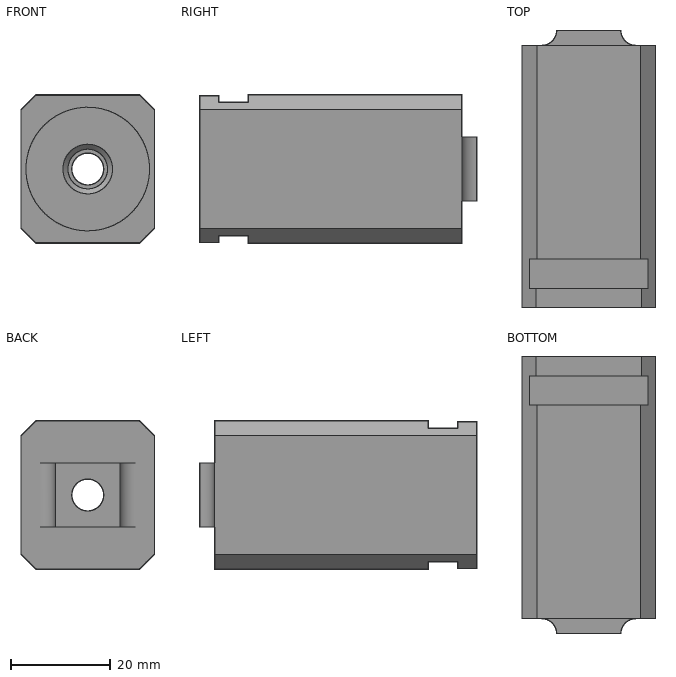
import cadquery as cq

total_length = 56.0
width = 27.0
height = 30.0

tongue_length = 3.0
tongue_size = 13.0
flare_radius = tongue_length
body_length = total_length - tongue_length

corner_chamfer = 3.0

lip_length = 3.9
lip_relief = 0.15
groove_length = 5.9
groove_depth = 1.5

bore_diameter = 25.0
end_wall = 5.0
bore_depth = body_length - end_wall
countersink_diameter = 10.0
seat_diameter = 8.0
countersink_depth = (countersink_diameter - seat_diameter) / 2
through_diameter = 6.4


def make_body():
    """Rectangular block with its four long edges chamfered."""
    block = cq.Workplane("XY").box(width, body_length, height, centered=(True, False, True))
    return block.edges("|Y").chamfer(corner_chamfer)


def make_tongue():
    """Flat-sided tongue whose X sides sweep out to the body in concave quarter arcs."""
    half_tip = tongue_size / 2
    half_base = half_tip + flare_radius
    arc_inset = flare_radius * (1 - 0.5 ** 0.5)
    arc_middle_x = half_tip + arc_inset
    arc_middle_y = body_length + arc_inset
    return (
        cq.Workplane("XY")
        .workplane(offset=-tongue_size / 2)
        .moveTo(-half_base, body_length)
        .threePointArc((-arc_middle_x, arc_middle_y), (-half_tip, total_length))
        .lineTo(half_tip, total_length)
        .threePointArc((arc_middle_x, arc_middle_y), (half_base, body_length))
        .close()
        .extrude(tongue_size)
    )


def make_face_cut(start, length, depth, side):
    """Full-width cut of the given depth into the top (side = 1) or bottom (side = -1) face."""
    middle_y = start + length / 2
    middle_z = side * (height - depth) / 2
    return cq.Workplane("XY").box(width, length, depth).translate((0, middle_y, middle_z))


def make_hole():
    """Bore, countersink, flat seat and through hole as one revolved shape about the Y axis."""
    seat_y = bore_depth + countersink_depth
    return (
        cq.Workplane("XY")
        .moveTo(0, 0)
        .lineTo(bore_diameter / 2, 0)
        .lineTo(bore_diameter / 2, bore_depth)
        .lineTo(countersink_diameter / 2, bore_depth)
        .lineTo(seat_diameter / 2, seat_y)
        .lineTo(through_diameter / 2, seat_y)
        .lineTo(through_diameter / 2, total_length)
        .lineTo(0, total_length)
        .close()
        .revolve(360, (0, 0), (0, 1))
    )


result = make_body().union(make_tongue())
for face_side in (1, -1):
    result = result.cut(make_face_cut(0, lip_length, lip_relief, face_side))
    result = result.cut(make_face_cut(lip_length, groove_length, groove_depth, face_side))
result = result.cut(make_hole())